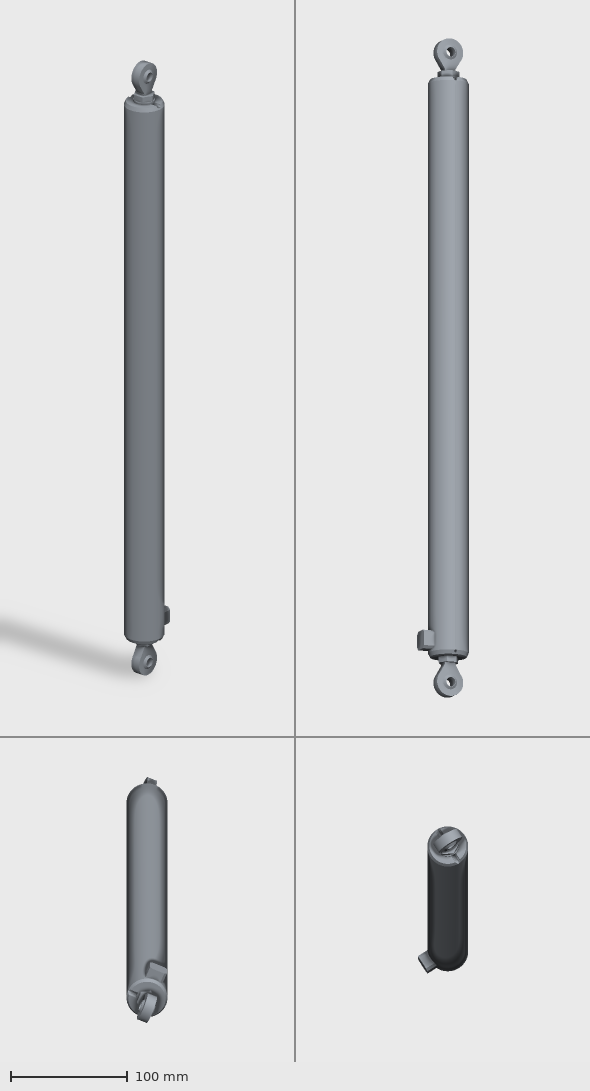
import cadquery as cq
import math

TOTAL_LENGTH = 575.0
BASE_END_LENGTH = 34.5
ROD_END_LENGTH = 35.5

EYE_DIAMETER = 24.0
EYE_WIDTH = 8.5
BUSH_WIDTH = 12.0
BUSH_FACE_DIAMETER = 8.5
BUSH_SEAT_DIAMETER = 12.5
BORE_DIAMETER = 8.0
NECK_DROP = 7.5
SHANK_WIDTH = 10.0
SHANK_HEIGHT = 2.0

NUT_HEIGHT = 5.0
ROD_NUT_CORNERS = 19.0
BASE_NUT_CORNERS = 18.0

TUBE_DIAMETER = 35.0
RIM_INSET = 2.0
RIM_HEIGHT = 3.5
BOSS_DIAMETER = 19.0
BOSS_HEIGHT = 2.0
GROOVE_DIAMETER = 4.8
INNER_GROOVE_DIAMETER = 2.5

OVERALL_DEPTH = 43.0
PORT_WIDTH = 15.5
PORT_HEIGHT = 16.0
PORT_CHAMFER = 2.5
PORT_CLEARANCE = 5.0

EYE_RADIUS = EYE_DIAMETER / 2
TUBE_RADIUS = TUBE_DIAMETER / 2
EYE_SPACING = TOTAL_LENGTH - EYE_DIAMETER
TUBE_BOTTOM = BASE_END_LENGTH - EYE_RADIUS
TUBE_TOP = TOTAL_LENGTH - EYE_RADIUS - ROD_END_LENGTH
TUBE_LENGTH = TUBE_TOP - TUBE_BOTTOM
BOSS_TOP = TUBE_TOP + BOSS_HEIGHT
PORT_REACH = OVERALL_DEPTH - TUBE_RADIUS


def eye_with_nut(nut_seat, nut_corners, corner_angle):
    """Eye centred on the origin, its neck rising to a nut whose far face is at Z = nut_seat."""
    nut_start = nut_seat - NUT_HEIGHT
    shank_start = nut_start - SHANK_HEIGHT
    half_eye = EYE_WIDTH / 2
    ring = cq.Workplane("YZ").circle(EYE_RADIUS).extrude(half_eye, both=True)

    shoulder = math.sqrt(EYE_RADIUS**2 - NECK_DROP**2)
    half_shank = SHANK_WIDTH / 2
    neck_outline = [
        (-shoulder, NECK_DROP),
        (shoulder, NECK_DROP),
        (half_shank, shank_start),
        (half_shank, nut_start),
        (-half_shank, nut_start),
        (-half_shank, shank_start),
    ]
    neck = cq.Workplane("YZ").polyline(neck_outline).close().extrude(half_eye, both=True)

    bush_face = BUSH_FACE_DIAMETER / 2
    half_width = BUSH_WIDTH / 2
    bush_seat = BUSH_SEAT_DIAMETER / 2
    bush_profile = [
        (-half_width, 0),
        (-half_width, bush_face),
        (-half_eye, bush_seat),
        (half_eye, bush_seat),
        (half_width, bush_face),
        (half_width, 0),
    ]
    bush = cq.Workplane("XY").polyline(bush_profile).close().revolve(360, (0, 0), (1, 0))

    nut = (
        cq.Workplane("XY", origin=(0, 0, nut_start))
        .polygon(6, nut_corners)
        .extrude(NUT_HEIGHT)
        .rotate((0, 0, 0), (0, 0, 1), corner_angle)
    )
    bore = cq.Workplane("YZ").circle(BORE_DIAMETER / 2).extrude(BUSH_WIDTH, both=True)
    return ring.union(neck).union(bush).union(nut).cut(bore)


def cross_rod(diameter, height):
    """Round rod along X, longer than the tube is wide, centred on the axis at Z = height."""
    return cq.Workplane("YZ", origin=(0, 0, height)).circle(diameter / 2).extrude(TUBE_DIAMETER, both=True)


def tube():
    """Cylinder with bevelled rims, a boss on top and stepped grooves along X in both end faces."""
    rim_radius = TUBE_RADIUS - RIM_INSET
    profile = [
        (0, TUBE_BOTTOM),
        (rim_radius, TUBE_BOTTOM),
        (TUBE_RADIUS, TUBE_BOTTOM + RIM_HEIGHT),
        (TUBE_RADIUS, TUBE_TOP - RIM_HEIGHT),
        (rim_radius, TUBE_TOP),
        (0, TUBE_TOP),
    ]
    body = cq.Workplane("XZ").polyline(profile).close().revolve(360, (0, 0), (0, 1))
    core = cq.Workplane("XY", origin=(0, 0, TUBE_BOTTOM)).circle(BOSS_DIAMETER / 2).extrude(TUBE_LENGTH)
    for end, inward in ((TUBE_BOTTOM, 1), (TUBE_TOP, -1)):
        floor = end + inward * GROOVE_DIAMETER / 2
        body = body.cut(cross_rod(GROOVE_DIAMETER, end).cut(core))
        body = body.cut(cross_rod(INNER_GROOVE_DIAMETER, floor).cut(core))
    boss = cq.Workplane("XY", origin=(0, 0, TUBE_TOP)).circle(BOSS_DIAMETER / 2).extrude(BOSS_HEIGHT)
    return body.union(boss)


def port_block():
    """Block with chamfered long edges, reaching from the cylinder axis out along +Y."""
    centre = TUBE_BOTTOM + PORT_CLEARANCE + PORT_HEIGHT / 2
    return (
        cq.Workplane("XY")
        .box(PORT_WIDTH, PORT_REACH, PORT_HEIGHT, centered=(True, False, True))
        .edges("|Y")
        .chamfer(PORT_CHAMFER)
        .translate((0, 0, centre))
    )


base_eye = eye_with_nut(TUBE_BOTTOM, BASE_NUT_CORNERS, 90)
housing = tube().union(port_block()).union(base_eye)

rod_end = (
    eye_with_nut(EYE_SPACING - BOSS_TOP, ROD_NUT_CORNERS, 0)
    .rotate((0, 0, 0), (1, 0, 0), 180)
    .translate((0, 0, EYE_SPACING))
)

result = cq.Compound.makeCompound([housing.val(), rod_end.val()])